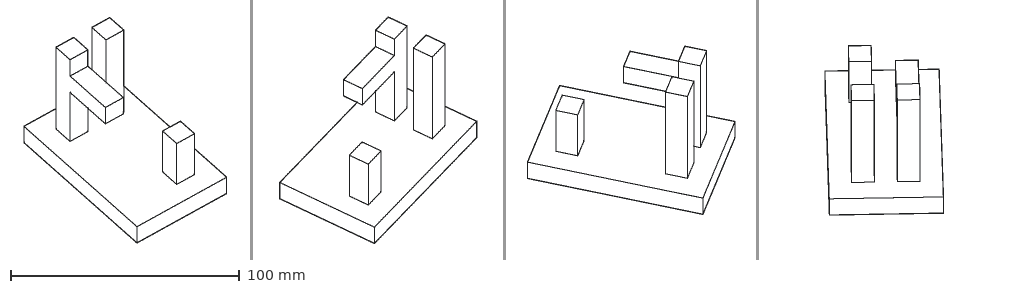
import cadquery as cq

plate_length = 80.0
plate_width = 50.0
bar = 10.0
tall_post_height = 50.0
short_post_height = tall_post_height / 2
arm_length = 2.5 * bar
arm_drop = bar

left_x = bar
right_x = plate_length - 2 * bar
front_y = bar
back_y = plate_width - 2 * bar
plate_top = bar
arm_z = plate_top + tall_post_height - arm_drop - bar


def block(size, corner):
    """Box with its lowest-coordinate corner at the given point."""
    return cq.Workplane("XY").box(*size, centered=False).translate(corner)


def post(x, y, height):
    """Square post standing on the plate."""
    return block((bar, bar, height), (x, y, plate_top))


plate = block((plate_length, plate_width, bar), (0, 0, 0))

arm = block((arm_length, bar, bar), (left_x + bar, front_y, arm_z))

result = (
    plate
    .union(post(left_x, front_y, tall_post_height))
    .union(post(left_x, back_y, tall_post_height))
    .union(post(right_x, back_y, short_post_height))
    .union(arm)
)